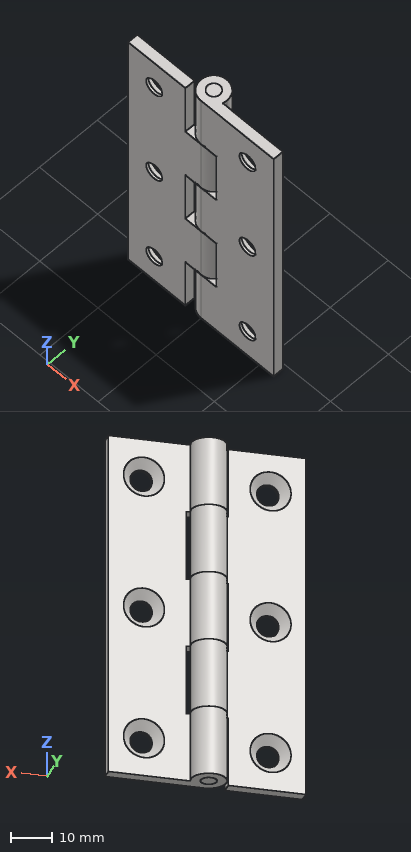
import cadquery as cq
import math

hinge_height = 90.0
hinge_width = 50.0
knuckle_count = 5
knuckle_diameter = 9.0
pin_diameter = 4.05
leaf_thickness = 3.2
leaf_inner_edge = 5.3
hole_diameter = 5.5
hole_offset = 16.0
hole_pitch = 35.0
holes_per_leaf = 3
countersink_depth = 2.4

knuckle_radius = knuckle_diameter / 2
knuckle_height = hinge_height / knuckle_count
leaf_reach = hinge_width / 2
leaf_front = -knuckle_radius
leaf_back = leaf_front + leaf_thickness
bottom = -hinge_height / 2


def pin_cylinder():
    """Full-height cylinder on the pin axis: the pin itself and the bore that takes it."""
    return cq.Workplane("XY", origin=(0, 0, bottom)).circle(pin_diameter / 2).extrude(hinge_height)


def leaf_blank(side):
    """Plate with a round barrel along its full height, split into faces at the level of the pin axis."""

    def barrel_point(angle):
        """Point on the barrel, with the angle in radians measured from the plate side."""
        return side * knuckle_radius * math.cos(angle), knuckle_radius * math.sin(angle)

    root_angle = math.asin(leaf_back / knuckle_radius)
    return (
        cq.Workplane("XY", origin=(0, 0, bottom))
        .moveTo(side * leaf_reach, leaf_front)
        .lineTo(0, leaf_front)
        .threePointArc(barrel_point(1.25 * math.pi), barrel_point(math.pi))
        .threePointArc(barrel_point(math.pi / 2), barrel_point(0))
        .threePointArc(barrel_point(root_angle / 2), barrel_point(root_angle))
        .lineTo(side * leaf_reach, leaf_back)
        .close()
        .extrude(hinge_height, clean=False)
    )


def knuckle_notch(side, index):
    """Cutter that clears one knuckle position for the knuckle of the other leaf."""
    width = knuckle_radius + leaf_inner_edge
    center_x = side * (leaf_inner_edge - knuckle_radius) / 2
    center_z = bottom + (index + 0.5) * knuckle_height
    return cq.Workplane("XY", origin=(center_x, 0, center_z)).box(width, knuckle_diameter, knuckle_height)


def screw_hole(side, z):
    """Cutter for one screw hole, countersunk from the back of the leaf."""
    hole_radius = hole_diameter / 2
    countersink_radius = hole_radius + countersink_depth
    return (
        cq.Workplane("XY", origin=(side * hole_offset, 0, z))
        .moveTo(0, leaf_front)
        .lineTo(hole_radius, leaf_front)
        .lineTo(hole_radius, leaf_back - countersink_depth)
        .lineTo(countersink_radius, leaf_back)
        .lineTo(0, leaf_back)
        .close()
        .revolve(360, (0, 0), (0, 1))
    )


def make_leaf(side, first_notch):
    """Leaf on the -X (side = -1) or +X (side = 1) half, notched at every second knuckle position."""
    leaf = leaf_blank(side).cut(pin_cylinder(), clean=False)
    for index in range(first_notch, knuckle_count, 2):
        leaf = leaf.cut(knuckle_notch(side, index), clean=False)
    for row in range(holes_per_leaf):
        z = (row - (holes_per_leaf - 1) / 2) * hole_pitch
        leaf = leaf.cut(screw_hole(side, z), clean=False)
    return leaf


three_knuckle_leaf = make_leaf(1, first_notch=1)
two_knuckle_leaf = make_leaf(-1, first_notch=0)
pin = pin_cylinder()

result = cq.Compound.makeCompound(
    [three_knuckle_leaf.solids().val(), two_knuckle_leaf.solids().val(), pin.val()]
)